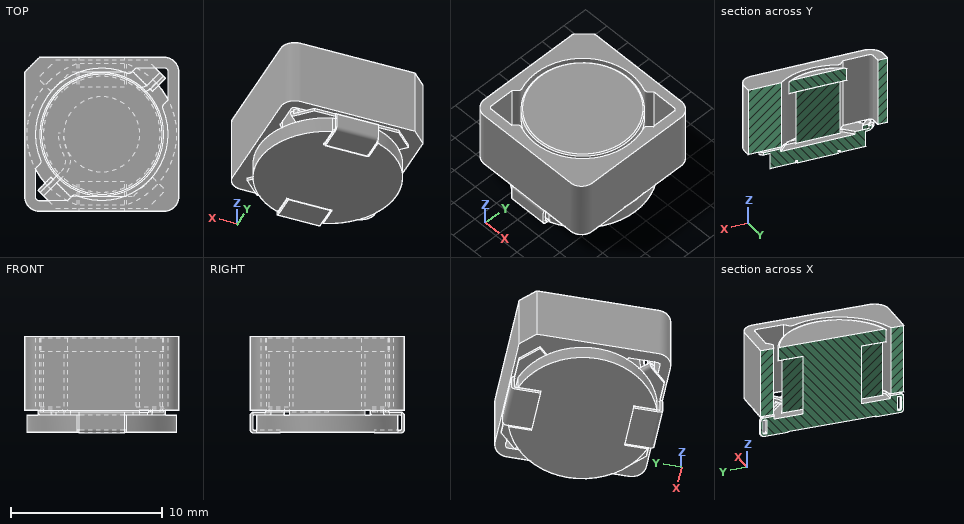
import cadquery as cq
import math


RING_SIDE = 10.2
RING_BOTTOM = 1.5
RING_TOP = 6.4
RING_CORNER = 1.0
BORE_RADIUS = 4.38
POCKET_HALF_WIDTH = 1.5
POCKET_CORNER_RADIUS = 0.22
POCKET_MOUTH_RADIUS = 0.25

SHEET = 0.2
STRAP_WIDTH = 3.0
STRAP_OUTER_Y = RING_SIDE / 2
STRAP_OUTER_RADIUS = 0.25
STRAP_INNER_RADIUS = STRAP_OUTER_RADIUS - SHEET
FOOT_INNER_Y = 3.13
PLATE_INNER_Y = 4.12
PLATE_OUTER_Y = STRAP_OUTER_Y - SHEET
TAB_INNER = 4.38
TAB_OUTER = 5.6
TAB_END = 0.37
LIP_HEIGHT = 0.41

BASE_RADIUS = 4.95
BASE_FLAT_Y = 4.67
BASE_BOTTOM = 0.05
BASE_TOP = 1.19
POST_RADIUS = 2.5
FLANGE_RADIUS = 4.08
FLANGE_THICKNESS = 1.0
FLANGE_CHAMFER = 0.1
FLANGE_TOP = RING_TOP
FLANGE_BOTTOM = FLANGE_TOP - FLANGE_THICKNESS
FOOT_RECESS_WIDTH = 2 * math.sqrt(BASE_RADIUS**2 - BASE_FLAT_Y**2)

PLATE_TOP = BASE_TOP + SHEET
WIRE = 2 * (TAB_END - SHEET)
COIL_RADIUS = 3.85
COIL_BOTTOM = RING_BOTTOM
LEAD_TOP = PLATE_TOP + WIRE
START_LAYER_RADIUS = 2.69
START_LEAD_BEND = 1.08
END_LAYER_RADIUS = COIL_RADIUS - WIRE / 2
END_LEAD_BEND = 0.97
START_LEAD_WRAP = 30.0

START_DIAGONAL = 225.0
END_DIAGONAL = 45.0


def block(x_min, x_max, y_min, y_max, z_min, z_max):
    size = (x_max - x_min, y_max - y_min, z_max - z_min)
    return cq.Workplane("XY").box(*size, centered=False).translate((x_min, y_min, z_min))


def cylinder(radius, z_min, z_max):
    return cq.Workplane("XY").workplane(offset=z_min).circle(radius).extrude(z_max - z_min)


def turned(shape, degrees):
    return shape.rotate((0, 0, 0), (0, 0, 1), degrees)


def ring_opening():
    height = RING_TOP - RING_BOTTOM
    bore = cylinder(BORE_RADIUS, RING_BOTTOM, RING_TOP)
    pockets = (
        cq.Workplane("XY")
        .workplane(offset=RING_BOTTOM)
        .rect(2 * BORE_RADIUS, 2 * BORE_RADIUS)
        .extrude(height)
        .edges("|Z and (>(1,1,0) or <(1,1,0))")
        .fillet(POCKET_CORNER_RADIUS)
    )
    band = turned(
        block(-RING_SIDE, RING_SIDE, -POCKET_HALF_WIDTH, POCKET_HALF_WIDTH, RING_BOTTOM, RING_TOP),
        END_DIAGONAL,
    )
    opening = bore.union(pockets.intersect(band))

    mouth = math.sqrt(BORE_RADIUS**2 - POCKET_HALF_WIDTH**2)
    for along in (-mouth, mouth):
        for across in (-POCKET_HALF_WIDTH, POCKET_HALF_WIDTH):
            corner = (
                (along - across) / math.sqrt(2),
                (along + across) / math.sqrt(2),
                (RING_BOTTOM + RING_TOP) / 2,
            )
            opening = opening.edges(cq.NearestToPointSelector(corner)).fillet(POCKET_MOUTH_RADIUS)
    return opening


def make_ring():
    return (
        cq.Workplane("XY")
        .workplane(offset=RING_BOTTOM)
        .rect(RING_SIDE, RING_SIDE)
        .extrude(RING_TOP - RING_BOTTOM)
        .edges("|Z and (not >(-1,1,0))")
        .fillet(RING_CORNER)
        .edges("|Z and >(-1,1,0)")
        .chamfer(RING_CORNER)
        .cut(ring_opening())
    )


def strap():
    """C-shaped strip from the foot, up the side, onto the base."""
    half_width = STRAP_WIDTH / 2
    outer = (
        block(-half_width, half_width, -STRAP_OUTER_Y, -FOOT_INNER_Y, 0, PLATE_TOP)
        .edges("|X and <Y")
        .fillet(STRAP_OUTER_RADIUS)
    )
    inside = (
        block(-half_width, half_width, -PLATE_OUTER_Y, -FOOT_INNER_Y, SHEET, BASE_TOP)
        .edges("|X and <Y")
        .fillet(STRAP_INNER_RADIUS)
    )
    above_base = block(-half_width, half_width, -PLATE_INNER_Y, -FOOT_INNER_Y, BASE_TOP, PLATE_TOP)
    return outer.cut(inside).cut(above_base)


def tab_point(along, past):
    """Plan position on the -X -Y diagonal: distance along it and distance past it."""
    return (-(along + past) / math.sqrt(2), (past - along) / math.sqrt(2))


def plate():
    """Flat plate on the base with a tab at each end; the wired tab stops at its diagonal."""
    diagonal_inner = TAB_INNER * math.sqrt(2)
    diagonal_outer = TAB_OUTER * math.sqrt(2)
    wired_end = [
        (PLATE_INNER_Y - diagonal_inner, -PLATE_INNER_Y),
        tab_point(TAB_INNER, 0),
        tab_point(TAB_OUTER, 0),
        (PLATE_OUTER_Y - diagonal_outer, -PLATE_OUTER_Y),
    ]
    plain_end = [
        (diagonal_outer - PLATE_OUTER_Y, -PLATE_OUTER_Y),
        (-tab_point(TAB_OUTER, TAB_END)[0], tab_point(TAB_OUTER, TAB_END)[1]),
        (-tab_point(TAB_INNER, TAB_END)[0], tab_point(TAB_INNER, TAB_END)[1]),
        (diagonal_inner - PLATE_INNER_Y, -PLATE_INNER_Y),
    ]
    outline = cq.Workplane("XY").workplane(offset=BASE_TOP).polyline(wired_end + plain_end)
    return outline.close().extrude(SHEET)


def lip():
    """End of the wired tab, bent upward beside the lead."""
    length = (TAB_INNER, TAB_OUTER)
    solid = (
        block(*length, -TAB_END, 0, BASE_TOP, BASE_TOP + LIP_HEIGHT)
        .edges("|X and <Y and <Z")
        .fillet(STRAP_OUTER_RADIUS)
        .cut(block(*length, SHEET - TAB_END, 0, PLATE_TOP, BASE_TOP + LIP_HEIGHT))
    )
    return turned(solid, START_DIAGONAL)


def make_terminal():
    return plate().union(strap()).union(lip())


def make_drum():
    """Base, post and flange, with a terminal fixed to each side of the base."""
    base = cylinder(BASE_RADIUS, BASE_BOTTOM, BASE_TOP).intersect(
        block(-RING_SIDE, RING_SIDE, -BASE_FLAT_Y, BASE_FLAT_Y, BASE_BOTTOM, BASE_TOP)
    )
    half_recess = FOOT_RECESS_WIDTH / 2
    recess = block(-half_recess, half_recess, -BASE_RADIUS, -FOOT_INNER_Y, 0, SHEET)
    base = base.cut(recess).cut(turned(recess, 180))
    post = cylinder(POST_RADIUS, BASE_TOP, FLANGE_BOTTOM)
    flange = cylinder(FLANGE_RADIUS, FLANGE_BOTTOM, FLANGE_TOP).faces(">Z").chamfer(FLANGE_CHAMFER)
    drum = base.union(post).union(flange)
    for diagonal in (START_DIAGONAL, END_DIAGONAL):
        drum = drum.union(turned(make_terminal(), diagonal - START_DIAGONAL))
    return drum


def make_lead(layer_radius, bend_radius, side, wrap, run_bottom):
    """Lead lying on its tab, then bent to one side until it follows a layer of the winding.

    `wrap` is how many degrees it follows that layer, and `run_bottom` its underside past the tab.
    """
    bend_start = math.sqrt((layer_radius + bend_radius) ** 2 - bend_radius**2)
    bend_angle = math.atan2(bend_radius, bend_start)
    half_bend = (math.pi / 2 - bend_angle) / 2
    bend_middle = (
        bend_start - bend_radius * math.sin(half_bend),
        side * bend_radius * (1 - math.cos(half_bend)),
    )

    def on_layer(angle):
        return (layer_radius * math.cos(angle), side * layer_radius * math.sin(angle))

    run_start = max(TAB_INNER, bend_start)
    run_middle_z = (run_bottom + LEAD_TOP) / 2
    path = cq.Workplane("XY").workplane(offset=run_middle_z).moveTo(run_start, 0)
    if bend_start < run_start:
        path = path.lineTo(bend_start, 0)
    path = path.threePointArc(bend_middle, on_layer(bend_angle))
    if wrap > 0:
        wrap_angle = math.radians(wrap)
        path = path.threePointArc(
            on_layer(bend_angle + wrap_angle / 2), on_layer(bend_angle + wrap_angle)
        )
    section = cq.Workplane("YZ", origin=(run_start, 0, run_middle_z))
    run = section.rect(WIRE, LEAD_TOP - run_bottom).sweep(path)
    on_tab = block(run_start, TAB_OUTER, -WIRE / 2, WIRE / 2, PLATE_TOP, LEAD_TOP)
    return run.union(on_tab)


def make_winding():
    coil = cylinder(COIL_RADIUS, COIL_BOTTOM, FLANGE_BOTTOM).cut(
        cylinder(POST_RADIUS, COIL_BOTTOM, FLANGE_BOTTOM)
    )
    start_lead = make_lead(START_LAYER_RADIUS, START_LEAD_BEND, -1, START_LEAD_WRAP, PLATE_TOP)
    end_lead = make_lead(END_LAYER_RADIUS, END_LEAD_BEND, 1, 0, COIL_BOTTOM)
    return coil.union(turned(start_lead, START_DIAGONAL)).union(turned(end_lead, END_DIAGONAL))


ring = make_ring()
drum = make_drum()
winding = make_winding()

result = cq.Compound.makeCompound(
    [ring.solids().val(), drum.solids().val(), winding.solids().val()]
)